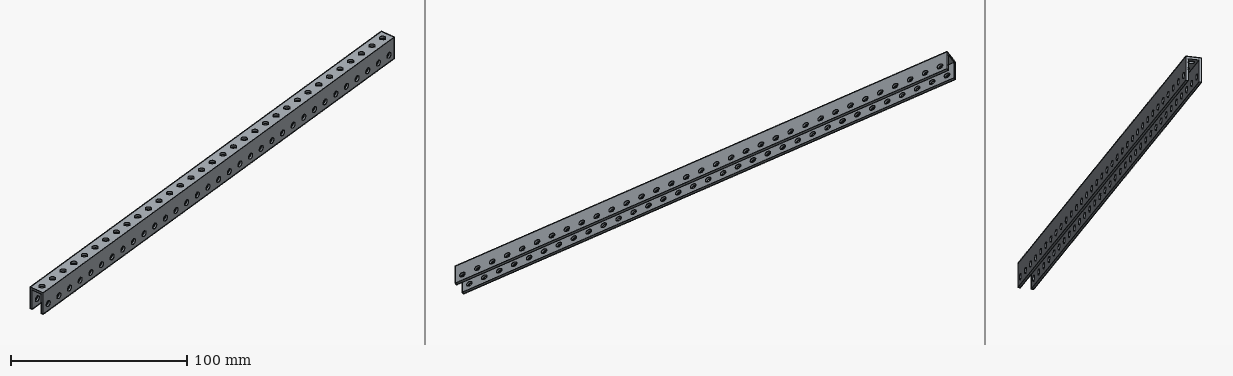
import cadquery as cq

width = 9.4
length = 322.45
height = 14.86
wall = 1.5

hole_count = 33
hole_pitch = 9.779
hole_diameter = 3.5
flange_hole_height = 4.8


def make_channel():
    """U-shaped channel with the open side facing down."""
    outer = cq.Workplane("XY").box(width, length, height, centered=(True, True, False))
    inner = cq.Workplane("XY").box(
        width - 2 * wall, length, height - wall, centered=(True, True, False)
    )
    return outer.cut(inner)


def hole_row(start, direction, depth):
    """Row of cylinders spaced along Y about the start point, each running along the direction."""
    plane = cq.Plane(origin=start, xDir=(0, 1, 0), normal=direction)
    return (
        cq.Workplane(plane)
        .rarray(hole_pitch, hole_pitch, hole_count, 1)
        .circle(hole_diameter / 2)
        .extrude(depth)
    )


flange_holes = hole_row((-width / 2, 0, flange_hole_height), (1, 0, 0), width)
web_holes = hole_row((0, 0, height - wall), (0, 0, 1), wall)

result = make_channel().cut(flange_holes).cut(web_holes)